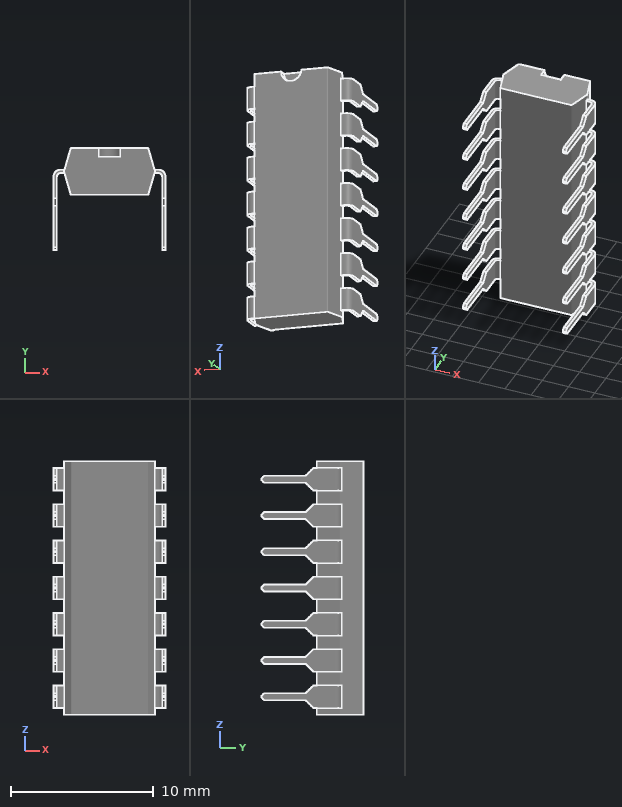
import cadquery as cq

PIN_COUNT = 7
PITCH = 2.54
BODY_LENGTH = PIN_COUNT * PITCH
BODY_WIDTH = 6.4
FACE_WIDTH = 5.44
BODY_DEPTH = 3.3
BODY_BACK = BODY_DEPTH / 2
BODY_FRONT = -BODY_DEPTH / 2
EDGE_RADIUS = 0.1

NOTCH_RADIUS = 0.75
NOTCH_DEPTH = 0.64

LEAD_SPAN = 7.87
LEAD_THICKNESS = 0.25
BEND_INNER_RADIUS = 0.25
BEND_OUTER_RADIUS = BEND_INNER_RADIUS + LEAD_THICKNESS
LEAD_EMBED = 0.5
LEAD_BACK = LEAD_THICKNESS / 2
OVERALL_DEPTH = 7.17
LEAD_TIP = BODY_BACK - OVERALL_DEPTH
SHOULDER_WIDTH = 1.6
SHOULDER_REACH = 3.52
SHOULDER_END = BODY_BACK - SHOULDER_REACH
PIN_WIDTH = 0.5
TAPER_LENGTH = (SHOULDER_WIDTH - PIN_WIDTH) / 2
TIP_CHAMFER = 0.2


def make_body():
    half_width = BODY_WIDTH / 2
    half_face = FACE_WIDTH / 2
    return (
        cq.Workplane("XY", origin=(0, 0, -BODY_LENGTH / 2))
        .polyline([
            (-half_face, BODY_BACK),
            (half_face, BODY_BACK),
            (half_width, 0),
            (half_face, BODY_FRONT),
            (-half_face, BODY_FRONT),
            (-half_width, 0),
        ])
        .close()
        .extrude(BODY_LENGTH)
        .edges("|Z")
        .fillet(EDGE_RADIUS)
    )


def make_notch():
    return (
        cq.Workplane("XZ", origin=(0, BODY_BACK, BODY_LENGTH / 2))
        .circle(NOTCH_RADIUS)
        .extrude(NOTCH_DEPTH)
    )


def make_bent_strip():
    """L-shaped strip on the +X side, as wide as the shoulder, centred on Z = 0."""
    outer = LEAD_SPAN / 2
    inner = outer - LEAD_THICKNESS
    root = BODY_WIDTH / 2 - LEAD_EMBED
    bend_start = outer - BEND_OUTER_RADIUS
    bend_end = LEAD_BACK - BEND_OUTER_RADIUS
    return (
        cq.Workplane("XY", origin=(0, 0, -SHOULDER_WIDTH / 2))
        .moveTo(root, LEAD_BACK)
        .lineTo(bend_start, LEAD_BACK)
        .radiusArc((outer, bend_end), BEND_OUTER_RADIUS)
        .lineTo(outer, LEAD_TIP)
        .lineTo(inner, LEAD_TIP)
        .lineTo(inner, bend_end)
        .radiusArc((bend_start, LEAD_BACK - LEAD_THICKNESS), -BEND_INNER_RADIUS)
        .lineTo(root, LEAD_BACK - LEAD_THICKNESS)
        .close()
        .extrude(SHOULDER_WIDTH)
    )


def make_lead_outline():
    """Lead outline in YZ: wide shoulder, tapered neck and pointed pin."""
    half_shoulder = SHOULDER_WIDTH / 2
    half_pin = PIN_WIDTH / 2
    upper = [
        (LEAD_BACK, half_shoulder),
        (SHOULDER_END, half_shoulder),
        (SHOULDER_END - TAPER_LENGTH, half_pin),
        (LEAD_TIP + TIP_CHAMFER, half_pin),
        (LEAD_TIP, half_pin - TIP_CHAMFER),
    ]
    lower = [(y, -z) for y, z in reversed(upper)]
    return cq.Workplane("YZ").polyline(upper + lower).close().extrude(LEAD_SPAN / 2)


lead = make_bent_strip().intersect(make_lead_outline())
mirrored_lead = lead.mirror("YZ")

result = make_body().cut(make_notch())
for index in range(PIN_COUNT):
    lead_z = (index - (PIN_COUNT - 1) / 2) * PITCH
    result = result.union(lead.translate((0, 0, lead_z)))
    result = result.union(mirrored_lead.translate((0, 0, lead_z)))